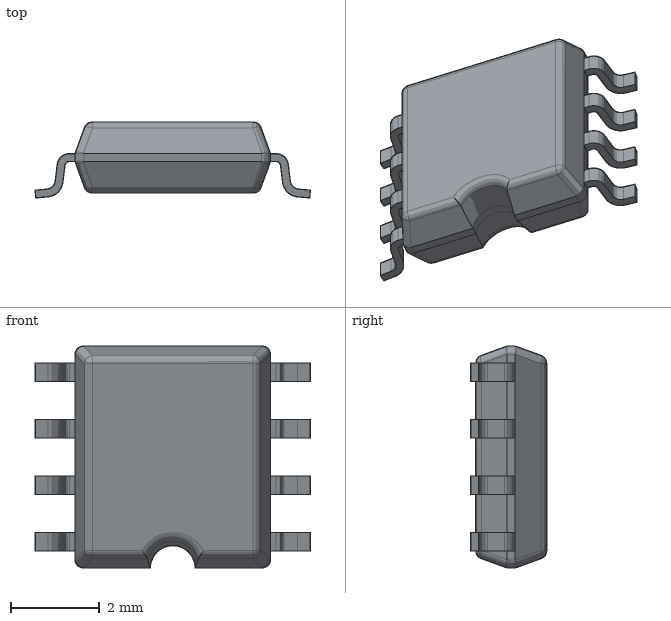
import cadquery as cq
import math


BODY_WIDTH = 4.4
BODY_LENGTH = 5.0
BODY_DEPTH = 1.6
BODY_DRAFT = 20.0
BODY_FILLET = 0.2

NOTCH_RADIUS = 0.5
NOTCH_DRAFT = 10.0

LEADS_PER_SIDE = 4
LEAD_PITCH = 1.27
LEAD_WIDTH = 0.42
LEAD_THICKNESS = 0.18
LEAD_SPAN = 6.2
FOOT_BOTTOM_Y = -0.91
FOOT_LENGTH = 0.27
FOOT_TILT = math.radians(5.0)
LEG_TILT = math.radians(7.0)
SHOULDER_INNER_RADIUS = 0.1
ANKLE_INNER_RADIUS = 0.2

BELT_DEPTH = LEAD_THICKNESS
SHELL_DEPTH = (BODY_DEPTH - BELT_DEPTH) / 2


def make_shell():
    """Tapered shell that grows from the back of the belt toward +Y."""
    belt_back = cq.Plane(origin=(0, BELT_DEPTH / 2, 0), xDir=(1, 0, 0), normal=(0, 1, 0))
    return cq.Workplane(belt_back).rect(BODY_WIDTH, BODY_LENGTH).extrude(SHELL_DEPTH, taper=BODY_DRAFT)


def make_notch_cutter():
    """Round cutter along Y that flares from the belt toward both faces of the body."""
    face_radius = NOTCH_RADIUS + SHELL_DEPTH * math.tan(math.radians(NOTCH_DRAFT))
    profile = [
        (0, -BODY_DEPTH / 2),
        (face_radius, -BODY_DEPTH / 2),
        (NOTCH_RADIUS, -BELT_DEPTH / 2),
        (NOTCH_RADIUS, BELT_DEPTH / 2),
        (face_radius, BODY_DEPTH / 2),
        (0, BODY_DEPTH / 2),
    ]
    lower_end = cq.Workplane("XY", origin=(0, 0, -BODY_LENGTH / 2))
    return lower_end.polyline(profile).close().revolve(360, (0, 0), (0, 1))


def is_corner_edge(edge):
    """True for the edges that run from face to face at the four corners, outside the notch."""
    runs_along_depth = edge.BoundingBox().ylen > BELT_DEPTH / 2
    return runs_along_depth and abs(edge.Center().x) > BODY_WIDTH / 4


def make_body():
    """Belt and both shells, notched, with the corners and the face outlines rounded together."""
    shell = make_shell()
    body = (
        cq.Workplane("XY")
        .box(BODY_WIDTH, BELT_DEPTH, BODY_LENGTH)
        .union(shell)
        .union(shell.mirror("XZ"))
        .cut(make_notch_cutter())
    )
    corner_edges = [edge for edge in body.edges().vals() if is_corner_edge(edge)]
    face_outlines = body.faces("<Y or >Y").edges().vals()
    return body.newObject(corner_edges + face_outlines).fillet(BODY_FILLET)


def offset_point(start, distance, angle):
    """Point at a distance from the start, in the direction of the angle in the XY plane."""
    return (start[0] + distance * math.cos(angle), start[1] + distance * math.sin(angle))


def make_left_lead():
    """Lead on the -X side, centred on Z = 0, ending flush against the side of the belt."""
    half_thickness = LEAD_THICKNESS / 2
    shoulder_outer = SHOULDER_INNER_RADIUS + LEAD_THICKNESS
    ankle_outer = ANKLE_INNER_RADIUS + LEAD_THICKNESS
    shoulder_mean = SHOULDER_INNER_RADIUS + half_thickness
    ankle_mean = ANKLE_INNER_RADIUS + half_thickness

    foot_up = FOOT_TILT + math.pi / 2
    foot_down = FOOT_TILT - math.pi / 2
    leg_inward = -LEG_TILT
    leg_outward = math.pi - LEG_TILT
    shoulder_up = math.pi / 2
    ankle_middle = (foot_down + leg_inward) / 2
    shoulder_middle = (shoulder_up + leg_outward) / 2

    tip = (
        -LEAD_SPAN / 2 + half_thickness * math.sin(FOOT_TILT),
        FOOT_BOTTOM_Y + half_thickness * math.cos(FOOT_TILT),
    )
    heel = offset_point(tip, FOOT_LENGTH, FOOT_TILT)
    ankle = offset_point(heel, ankle_mean, foot_up)

    leg_bottom = offset_point(ankle, ankle_mean, leg_inward)
    leg_top_y = -shoulder_mean * (1 - math.sin(LEG_TILT))
    leg_length = (leg_top_y - leg_bottom[1]) / math.cos(LEG_TILT)
    leg_top = offset_point(leg_bottom, leg_length, math.pi / 2 - LEG_TILT)
    shoulder = offset_point(leg_top, shoulder_mean, leg_inward)

    outline = (
        cq.Workplane("XY", origin=(0, 0, -LEAD_WIDTH / 2))
        .moveTo(*offset_point(tip, half_thickness, foot_down))
        .lineTo(*offset_point(ankle, ankle_outer, foot_down))
        .threePointArc(
            offset_point(ankle, ankle_outer, ankle_middle),
            offset_point(ankle, ankle_outer, leg_inward),
        )
        .lineTo(*offset_point(shoulder, SHOULDER_INNER_RADIUS, leg_outward))
        .threePointArc(
            offset_point(shoulder, SHOULDER_INNER_RADIUS, shoulder_middle),
            offset_point(shoulder, SHOULDER_INNER_RADIUS, shoulder_up),
        )
        .lineTo(-BODY_WIDTH / 2, -half_thickness)
        .lineTo(-BODY_WIDTH / 2, half_thickness)
        .lineTo(*offset_point(shoulder, shoulder_outer, shoulder_up))
        .threePointArc(
            offset_point(shoulder, shoulder_outer, shoulder_middle),
            offset_point(shoulder, shoulder_outer, leg_outward),
        )
        .lineTo(*offset_point(ankle, ANKLE_INNER_RADIUS, leg_inward))
        .threePointArc(
            offset_point(ankle, ANKLE_INNER_RADIUS, ankle_middle),
            offset_point(ankle, ANKLE_INNER_RADIUS, foot_down),
        )
        .lineTo(*offset_point(tip, half_thickness, foot_up))
        .close()
    )
    return outline.extrude(LEAD_WIDTH)


def make_leads():
    """Evenly spaced rows of leads on the -X and +X sides, each lead a separate solid."""
    left_lead = make_left_lead()
    right_lead = left_lead.mirror("YZ")
    leads = []
    for row in range(LEADS_PER_SIDE):
        z = (row - (LEADS_PER_SIDE - 1) / 2) * LEAD_PITCH
        for lead in (left_lead, right_lead):
            leads.append(lead.translate((0, 0, z)).val())
    return leads


body = make_body()
leads = make_leads()
result = cq.Compound.makeCompound([body.val(), *leads])